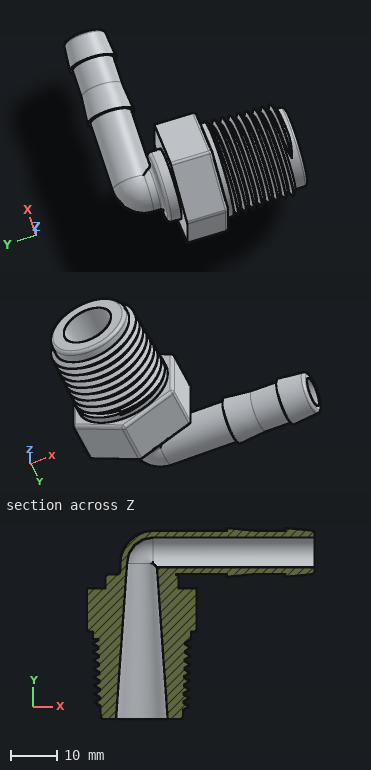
import cadquery as cq
import math


overall_length = 49.25

pipe_radius = 9.4 / 2
bore_radius = 6.35 / 2
bend_radius = 2.35
edge_radius = 0.75

boss_top = -4.75
hex_top = -7.75
hex_bottom = -17.2
collar_bottom = -18.7
inlet_end = -36.1

boss_radius = 7.95
hex_sides = 6
hex_across_flats = 23.8
collar_radius = 21.3 / 2
inlet_bore_radius = 5.55

barb_radius = 5.3
barb_length = 6.35
barb_spacing = 2 * barb_length
barb_end = overall_length - hex_across_flats / 2
last_barb_start = barb_end - barb_length
barb_starts = (last_barb_start - barb_spacing, last_barb_start)

thread_length = 15.4
thread_turns = 8.5
pitch = thread_length / thread_turns
taper_slope = 1 / 32
thread_depth = 1.25
crest_width = 0.1
root_overlap = 0.15
flank_angle = 30
thread_end = -33.75
core_tip_radius = 8.9
runout_radius = 5.6
runout_sweep = 80


def core_radius_at(y):
    """Radius of the tapered thread core at a place along Y."""
    return core_tip_radius + (y - inlet_end) * taper_slope


def cylinder_y(radius, start, end):
    """Cylinder on the inlet axis between two places along Y."""
    return cq.Workplane("XZ", origin=(0, start, 0)).circle(radius).extrude(start - end)


def cylinder_x(radius, start, end):
    """Cylinder on the hose axis between two places along X."""
    return cq.Workplane("YZ", origin=(start, 0, 0)).circle(radius).extrude(end - start)


def bend(radius):
    """Quarter turn from -Y to +X; the round section stops at the turning axis."""
    half_chord = math.sqrt(radius**2 - bend_radius**2)
    section = (
        cq.Workplane("XZ", origin=(0, -bend_radius, 0))
        .moveTo(bend_radius, half_chord)
        .threePointArc((-radius, 0), (bend_radius, -half_chord))
        .close()
    )
    return section.revolve(90, (bend_radius, 0, 0), (bend_radius, -1, 0))


def elbow():
    inlet_leg = cylinder_y(pipe_radius, -bend_radius, hex_top)
    hose_leg = cylinder_x(pipe_radius, bend_radius, barb_end)
    return inlet_leg.union(bend(pipe_radius)).union(hose_leg)


def barb(start):
    """Ring that slopes from a sharp shoulder down to the pipe."""
    return (
        cq.Workplane("XY")
        .moveTo(start, 0)
        .lineTo(start, barb_radius)
        .lineTo(start + barb_length, pipe_radius)
        .lineTo(start + barb_length, 0)
        .close()
        .revolve(360, (0, 0, 0), (1, 0, 0))
    )


def boss():
    """Round boss below the elbow, with a flared foot around the pipe."""
    body = cylinder_y(boss_radius, boss_top, hex_top).faces(">Y").edges().fillet(edge_radius)
    foot_top = boss_top + edge_radius
    foot_radius = pipe_radius + edge_radius
    arc_reach = edge_radius * (1 - math.sqrt(0.5))
    foot = (
        cq.Workplane("XY")
        .moveTo(0, boss_top)
        .lineTo(foot_radius, boss_top)
        .threePointArc((pipe_radius + arc_reach, boss_top + arc_reach), (pipe_radius, foot_top))
        .lineTo(0, foot_top)
        .close()
        .revolve(360, (0, 0, 0), (0, 1, 0))
    )
    return body.union(foot)


def hexagon():
    """Wrench hexagon with flats facing X, rounded corners and a rounded lower rim."""
    corner_diameter = hex_across_flats / math.cos(math.pi / hex_sides)
    return (
        cq.Workplane("XZ", origin=(0, hex_top, 0))
        .transformed(rotate=(0, 0, 180 / hex_sides))
        .polygon(hex_sides, corner_diameter)
        .extrude(hex_top - hex_bottom)
        .edges("|Y or <Y")
        .fillet(edge_radius)
    )


def thread_core():
    return (
        cq.Workplane("XY")
        .moveTo(0, inlet_end)
        .lineTo(core_tip_radius, inlet_end)
        .lineTo(core_radius_at(collar_bottom), collar_bottom)
        .lineTo(0, collar_bottom)
        .close()
        .revolve(360, (0, 0, 0), (0, 1, 0))
        .faces("<Y")
        .edges()
        .fillet(edge_radius)
    )


def thread_profile(axial, inner):
    """Trapezoid of the thread ridge: axial centre and inner radius give its place."""
    height = thread_depth + root_overlap
    half_crest = crest_width / 2
    half_root = half_crest + height * math.tan(math.radians(flank_angle))
    return [
        (inner, axial - half_root),
        (inner + height, axial - half_crest),
        (inner + height, axial + half_crest),
        (inner, axial + half_root),
    ]


def thread():
    """Helical ridge built along Z, then turned so that it climbs along Y from the +Z side."""
    inner = core_radius_at(thread_end) - root_overlap
    taper_angle = math.degrees(math.atan(taper_slope))
    path = cq.Wire.makeHelix(pitch, thread_length, inner, angle=taper_angle)
    profile = cq.Workplane("XZ").polyline(thread_profile(0, inner)).close()
    ridge = profile.sweep(cq.Workplane(path), isFrenet=True)
    ridge = ridge.rotate((0, 0, 0), (1, 0, 0), -90).rotate((0, 0, 0), (0, 1, 0), -90)
    return ridge.translate((0, thread_end, 0))


def thread_runout():
    """Tight arc that carries the last ridge down into the core on the -X side."""
    inner = core_radius_at(thread_end) - root_overlap
    centre = inner + root_overlap + thread_depth - runout_radius
    points = [(axial, radius) for radius, axial in thread_profile(thread_end, inner)]
    return (
        cq.Workplane("YZ")
        .polyline(points)
        .close()
        .revolve(runout_sweep, (0, centre, 0), (-1, centre, 0))
    )


def bore():
    """Tapered inlet bore, bend and straight hose bore."""
    inlet = (
        cq.Workplane("XY")
        .moveTo(0, inlet_end)
        .lineTo(inlet_bore_radius, inlet_end)
        .lineTo(bore_radius, -bend_radius)
        .lineTo(0, -bend_radius)
        .close()
        .revolve(360, (0, 0, 0), (0, 1, 0))
    )
    return inlet.union(bend(bore_radius)).union(cylinder_x(bore_radius, bend_radius, barb_end))


body = elbow()
for start in barb_starts:
    body = body.union(barb(start))
body = body.faces(">X").edges().fillet(edge_radius)

body = body.union(boss()).union(hexagon())
body = body.union(cylinder_y(collar_radius, hex_bottom, collar_bottom))
body = body.union(thread_core().union(thread()).union(thread_runout()))

result = body.cut(bore())